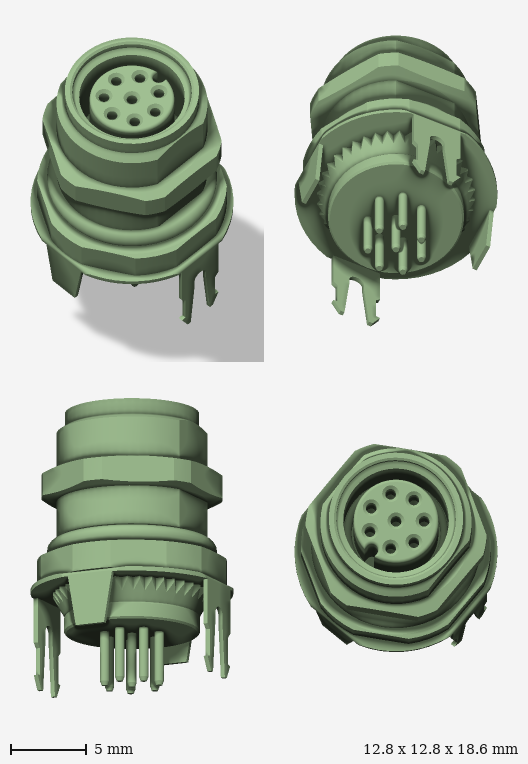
import cadquery as cq
import math

TOP_Z = 18.6
SHOULDER_Z = 17.6
NUT_TOP_Z = 14.58
NUT_BOTTOM_Z = 12.54
SEAL_TOP_Z = 9.85
FLANGE_TOP_Z = 8.61
WASHER_TOP_Z = 6.62
SHEET = 0.3
WASHER_BOTTOM_Z = WASHER_TOP_Z - SHEET
CONE_TOP_Z = 6.2
CONE_BOTTOM_Z = 4.76
BODY_BOTTOM_Z = 3.63

COLLAR_R = 4.45
BODY_R = 5.0
SHOULDER_DROP = 0.37
BODY_FLAT = 4.52
BODY_CHAMFER = 0.1
BASE_R = 4.5
BASE_CHAMFER = 0.13
BASE_TOP_BEVEL_WIDTH = 0.05
BASE_TOP_BEVEL_HEIGHT = 0.1

NUT_R = 6.0
NUT_FLAT = 5.5
NUT_CHAMFER_HEIGHT = 0.26
FLANGE_R = 6.29
FLANGE_FLAT = 6.0
FLANGE_CHAMFER_WIDTH = 0.33
FLANGE_CHAMFER_HEIGHT = 0.07

SEAL_TUBE_R = (SEAL_TOP_Z - FLANGE_TOP_Z) / 2

CONE_R = 5.28
TOOTH_COUNT = 40
TOOTH_TIP_R = 5.25
TOOTH_ROOT_R = 4.84

WASHER_R = 6.71
WASHER_FLAT = 6.4
BEND_R = 0.22
TAB_TOP_HALF_WIDTH = 1.62
TAB_BOTTOM_HALF_WIDTH = 1.05
TAB_BOTTOM_Z = 2.94

LEG_HALF_WIDTH = 1.71
LEG_NECK_HALF_WIDTH = 1.4
LEG_NECK_TOP_Z = 3.0
BARB_Z = 1.17
BARB_SLOPE = 0.05
LEG_TIP_HALF_WIDTH = 1.17
LEG_BOTTOM_Z = 0.19
LEG_SLOT_R = 0.54
LEG_SLOT_ARC_Z = 4.26
LEG_SLOT_FLARE_Z = 3.72
LEG_SLOT_BOTTOM_HALF_WIDTH = 0.9

MOUTH_R = 4.11
MOUTH_CHAMFER = 0.11
CONE_SEAT_DEPTH = 0.46
CONE_SEAT_R = 3.96
SOCKET_R = 3.5
CONE_SEAT_HEIGHT = 0.2
FLOOR_Z = 13.02
BEAD_CENTRE_R = 3.2
BEAD_TUBE_R = 0.26
BEAD_CENTRE_Z = 13.4
INSERT_R = 2.8
INSERT_TOP_Z = 17.82
INSERT_EDGE_R = 0.2
KEY_SLOT_R = 0.4
KEY_SLOT_CENTRE = 2.51

CONTACT_CIRCLE_R = 1.86
CONTACT_COUNT = 7
CONTACT_STEP = 50.5
CONTACT_START = -90 - CONTACT_STEP * (CONTACT_COUNT // 2)
HOLE_R = 0.35
HOLE_MOUTH_R = 0.55
HOLE_DEPTH = 2.23
PIN_R = 0.61 / 2
PIN_TIP_R = 0.2
PIN_TIP_HEIGHT = 0.28


def revolve(points):
    """Solid of revolution about Z from (radius, z) points."""
    return cq.Workplane("XZ").polyline(points).close().revolve(360, (0, 0, 0), (0, 1, 0))


def hexagon(flat, bottom, top):
    """Hexagonal prism with flats facing +X and -X at the given distance from the axis."""
    corner_diameter = 2 * flat / math.cos(math.pi / 6)
    prism = cq.Workplane("XY").workplane(offset=bottom).polygon(6, corner_diameter)
    return prism.extrude(top - bottom).rotate((0, 0, 0), (0, 0, 1), 30)


def double_chamfered_disc(radius, bottom, top, chamfer_width, chamfer_height):
    """Disc whose two rims are bevelled."""
    return revolve([
        (0, bottom),
        (radius - chamfer_width, bottom),
        (radius, bottom + chamfer_height),
        (radius, top - chamfer_height),
        (radius - chamfer_width, top),
        (0, top),
    ])


def make_body():
    neck_r = BODY_R - BODY_CHAMFER
    threaded = revolve([
        (0, SEAL_TOP_Z),
        (neck_r, SEAL_TOP_Z),
        (BODY_R, SEAL_TOP_Z + BODY_CHAMFER),
        (BODY_R, SHOULDER_Z - SHOULDER_DROP),
        (COLLAR_R, SHOULDER_Z),
        (COLLAR_R, TOP_Z),
        (0, TOP_Z),
    ])
    flats = cq.Workplane("XY").box(2 * BODY_FLAT, 4 * BODY_R, 2 * TOP_Z)
    base = revolve([
        (0, BODY_BOTTOM_Z),
        (BASE_R - BASE_CHAMFER, BODY_BOTTOM_Z),
        (BASE_R, BODY_BOTTOM_Z + BASE_CHAMFER),
        (BASE_R, CONE_BOTTOM_Z - BASE_TOP_BEVEL_HEIGHT),
        (BASE_R - BASE_TOP_BEVEL_WIDTH, CONE_BOTTOM_Z),
        (0, CONE_BOTTOM_Z),
    ])
    neck = cq.Workplane("XY").workplane(offset=WASHER_BOTTOM_Z).circle(neck_r)
    neck = neck.extrude(SEAL_TOP_Z - WASHER_BOTTOM_Z)
    return threaded.intersect(flats).union(neck).union(base)


def make_nut():
    blank = double_chamfered_disc(NUT_R, NUT_BOTTOM_Z, NUT_TOP_Z, NUT_R - BODY_R, NUT_CHAMFER_HEIGHT)
    return blank.intersect(hexagon(NUT_FLAT, NUT_BOTTOM_Z, NUT_TOP_Z))


def make_flange():
    blank = double_chamfered_disc(
        FLANGE_R, WASHER_TOP_Z, FLANGE_TOP_Z, FLANGE_CHAMFER_WIDTH, FLANGE_CHAMFER_HEIGHT
    )
    return blank.intersect(hexagon(FLANGE_FLAT, WASHER_TOP_Z, FLANGE_TOP_Z))


def make_seal():
    """Visible outer half of the ring, closed inward against the neck."""
    inner_r = BODY_R - SEAL_TUBE_R
    section = (
        cq.Workplane("XZ")
        .moveTo(inner_r, FLANGE_TOP_Z)
        .lineTo(BODY_R, FLANGE_TOP_Z)
        .threePointArc((BODY_R + SEAL_TUBE_R, FLANGE_TOP_Z + SEAL_TUBE_R), (BODY_R, SEAL_TOP_Z))
        .lineTo(inner_r, SEAL_TOP_Z)
        .close()
    )
    return section.revolve(360, (0, 0, 0), (0, 1, 0))


def make_serrated_cone():
    cone = revolve([
        (0, CONE_BOTTOM_Z),
        (BASE_R - BASE_TOP_BEVEL_WIDTH, CONE_BOTTOM_Z),
        (CONE_R, CONE_TOP_Z),
        (CONE_R, WASHER_BOTTOM_Z),
        (0, WASHER_BOTTOM_Z),
    ])
    outline = []
    for index in range(2 * TOOTH_COUNT):
        angle = math.pi * index / TOOTH_COUNT
        radius = TOOTH_ROOT_R if index % 2 == 0 else TOOTH_TIP_R
        outline.append((radius * math.cos(angle), radius * math.sin(angle)))
    star = cq.Workplane("XY").workplane(offset=CONE_BOTTOM_Z).polyline(outline).close()
    return cone.intersect(star.extrude(WASHER_BOTTOM_Z - CONE_BOTTOM_Z))


def make_washer():
    square = cq.Workplane("XY").workplane(offset=WASHER_BOTTOM_Z).rect(2 * WASHER_FLAT, 2 * WASHER_FLAT)
    disc = cq.Workplane("XY").workplane(offset=WASHER_BOTTOM_Z).circle(WASHER_R).extrude(SHEET)
    plate = disc.intersect(square.extrude(SHEET))
    plate = plate.faces(">Z").edges("|X or |Y").fillet(BEND_R)

    tab = (
        cq.Workplane("XZ", origin=(0, WASHER_FLAT, 0))
        .moveTo(-TAB_TOP_HALF_WIDTH, WASHER_BOTTOM_Z)
        .lineTo(-TAB_BOTTOM_HALF_WIDTH, TAB_BOTTOM_Z)
        .lineTo(TAB_BOTTOM_HALF_WIDTH, TAB_BOTTOM_Z)
        .lineTo(TAB_TOP_HALF_WIDTH, WASHER_BOTTOM_Z)
        .close()
        .extrude(SHEET)
    )
    leg_half = [
        (LEG_HALF_WIDTH, WASHER_BOTTOM_Z),
        (LEG_HALF_WIDTH, LEG_NECK_TOP_Z + LEG_HALF_WIDTH - LEG_NECK_HALF_WIDTH),
        (LEG_NECK_HALF_WIDTH, LEG_NECK_TOP_Z),
        (LEG_NECK_HALF_WIDTH, BARB_Z),
        (LEG_HALF_WIDTH, BARB_Z - BARB_SLOPE),
        (LEG_TIP_HALF_WIDTH, LEG_BOTTOM_Z),
        (LEG_SLOT_BOTTOM_HALF_WIDTH, LEG_BOTTOM_Z),
        (LEG_SLOT_R, LEG_SLOT_FLARE_Z),
        (LEG_SLOT_R, LEG_SLOT_ARC_Z),
    ]
    mirrored_half = [(-across, height) for across, height in reversed(leg_half)]
    leg = (
        cq.Workplane("YZ", origin=(WASHER_FLAT - SHEET, 0, 0))
        .polyline(leg_half)
        .threePointArc((0, LEG_SLOT_ARC_Z + LEG_SLOT_R), mirrored_half[0])
        .polyline(mirrored_half, includeCurrent=False)
        .close()
        .extrude(SHEET)
    )
    for sheet_arm in (tab, leg):
        plate = plate.union(sheet_arm)
        plate = plate.union(sheet_arm.rotate((0, 0, 0), (0, 0, 1), 180))
    return plate


def make_socket():
    """Stepped round opening around a rounded sealing bead, as a solid to remove."""
    seat_top_z = TOP_Z - CONE_SEAT_DEPTH
    bead_inner_r = BEAD_CENTRE_R - BEAD_TUBE_R
    bead_outer_r = BEAD_CENTRE_R + BEAD_TUBE_R
    return (
        cq.Workplane("XZ")
        .moveTo(0, FLOOR_Z)
        .lineTo(bead_inner_r, FLOOR_Z)
        .lineTo(bead_inner_r, BEAD_CENTRE_Z)
        .tangentArcPoint((BEAD_CENTRE_R, BEAD_CENTRE_Z + BEAD_TUBE_R), relative=False)
        .tangentArcPoint((bead_outer_r, BEAD_CENTRE_Z), relative=False)
        .lineTo(SOCKET_R, BEAD_CENTRE_Z)
        .lineTo(SOCKET_R, seat_top_z - CONE_SEAT_HEIGHT)
        .lineTo(CONE_SEAT_R, seat_top_z)
        .lineTo(CONE_SEAT_R, TOP_Z - MOUTH_CHAMFER)
        .lineTo(MOUTH_R, TOP_Z)
        .lineTo(0, TOP_Z)
        .close()
        .revolve(360, (0, 0, 0), (0, 1, 0))
    )


def contact_points():
    points = [(0, 0)]
    for index in range(CONTACT_COUNT):
        angle = math.radians(CONTACT_START + index * CONTACT_STEP)
        points.append((CONTACT_CIRCLE_R * math.cos(angle), CONTACT_CIRCLE_R * math.sin(angle)))
    return points


def make_insert():
    height = INSERT_TOP_Z - FLOOR_Z
    insert = cq.Workplane("XY").workplane(offset=FLOOR_Z).circle(INSERT_R).extrude(height)
    key_slot = (
        cq.Workplane("XY", origin=(0, KEY_SLOT_CENTRE, FLOOR_Z))
        .moveTo(-KEY_SLOT_R, 0)
        .threePointArc((0, -KEY_SLOT_R), (KEY_SLOT_R, 0))
        .lineTo(KEY_SLOT_R, INSERT_R)
        .lineTo(-KEY_SLOT_R, INSERT_R)
        .close()
        .extrude(height)
    )
    return insert.cut(key_slot).faces(">Z").edges().fillet(INSERT_EDGE_R)


def make_contact_hole():
    """Countersunk blind hole with a conical end, as a solid to remove."""
    bottom_z = INSERT_TOP_Z - HOLE_DEPTH
    return revolve([
        (0, bottom_z - HOLE_R),
        (HOLE_R, bottom_z),
        (HOLE_R, INSERT_TOP_Z - HOLE_MOUTH_R + HOLE_R),
        (HOLE_MOUTH_R, INSERT_TOP_Z),
        (0, INSERT_TOP_Z),
    ])


def make_pin():
    return revolve([
        (0, 0),
        (PIN_TIP_R, 0),
        (PIN_R, PIN_TIP_HEIGHT),
        (PIN_R, BODY_BOTTOM_Z),
        (0, BODY_BOTTOM_Z),
    ])


result = make_body().union(make_nut()).union(make_flange()).union(make_seal())
result = result.union(make_serrated_cone()).union(make_washer())
result = result.cut(make_socket()).union(make_insert())

contact_hole = make_contact_hole()
pin = make_pin()
for x, y in contact_points():
    result = result.cut(contact_hole.translate((x, y, 0)))
    result = result.union(pin.translate((x, y, 0)))